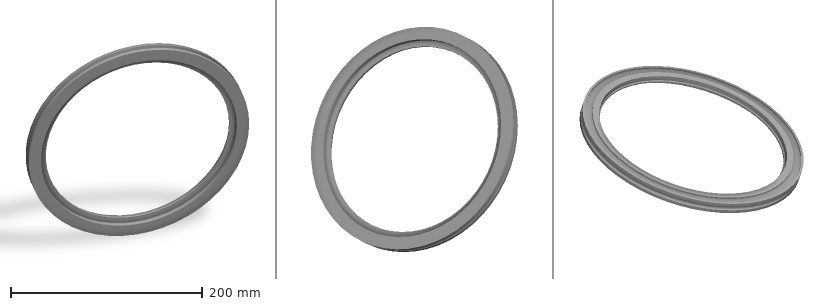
import cadquery as cq

width = 12.0
outer_radius = 240.0 / 2

channel_outer_radius = 235.0 / 2
channel_inner_radius = 218.5 / 2
channel_depth = 1.7

front_bore_radius = 204.0 / 2
lip_radius = 200.0 / 2
rear_bore_radius = 213.0 / 2
front_bore_depth = 5.0
lip_thickness = 2.0

groove_width = 4.8
groove_depth = 2.5

front_x = -width / 2
back_x = width / 2
channel_x = front_x + channel_depth
lip_front_x = front_x + front_bore_depth
lip_back_x = lip_front_x + lip_thickness
groove_half = groove_width / 2

section = (
    cq.Workplane("XY")
    .moveTo(front_x, outer_radius)
    .lineTo(-groove_half, outer_radius)
    .threePointArc((0, outer_radius - groove_depth), (groove_half, outer_radius))
    .lineTo(back_x, outer_radius)
    .lineTo(back_x, rear_bore_radius)
    .lineTo(lip_back_x, rear_bore_radius)
    .lineTo(lip_back_x, lip_radius)
    .lineTo(lip_front_x, lip_radius)
    .lineTo(lip_front_x, front_bore_radius)
    .lineTo(front_x, front_bore_radius)
    .lineTo(front_x, channel_inner_radius)
    .lineTo(channel_x, channel_inner_radius)
    .lineTo(channel_x, channel_outer_radius)
    .lineTo(front_x, channel_outer_radius)
    .close()
)

result = section.revolve(360, (0, 0, 0), (1, 0, 0))